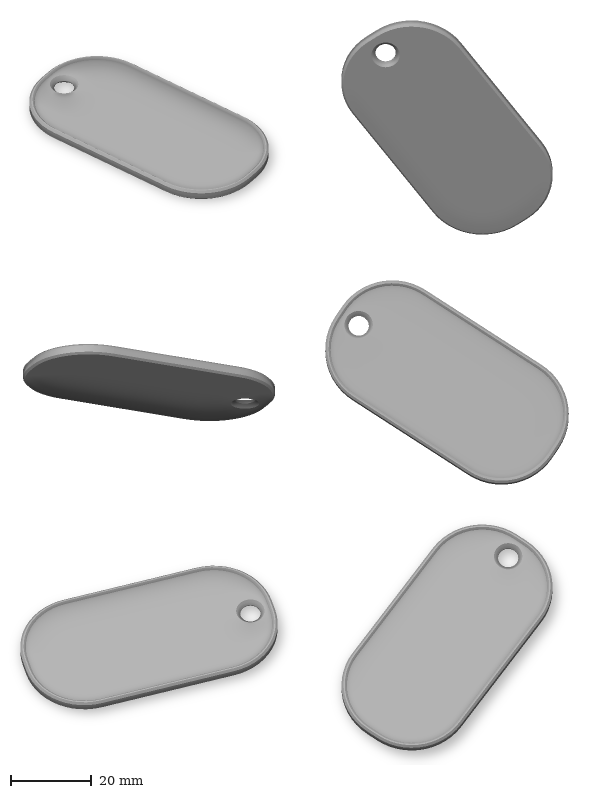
import cadquery as cq

length = 64.5
width = 33.0
thickness = 2.8
corner_radius = 15.0
edge_chamfer = 0.5

rim_width = 0.3
recess_depth = 0.5
recess_wall_angle = 45

hole_x = -26.25
hole_diameter = 5.0
countersink_diameter = 7.0
countersink_depth = (countersink_diameter - hole_diameter) / 2
floor_z = thickness - recess_depth


def rounded_outline(plane_z, inset):
    """Plate outline moved inward by a uniform inset."""
    outline = cq.Sketch().rect(length - 2 * inset, width - 2 * inset)
    outline = outline.vertices().fillet(corner_radius - inset)
    return cq.Workplane("XY", origin=(0, 0, plane_z)).placeSketch(outline)


def plate_blank():
    blank = rounded_outline(0, 0).extrude(thickness)
    return blank.faces("<Z or >Z").chamfer(edge_chamfer)


def recess_cutter():
    rim_inset = edge_chamfer + rim_width
    return rounded_outline(thickness, rim_inset).extrude(-recess_depth, taper=recess_wall_angle)


def countersink_cutter(face_z, inward):
    """Cone that narrows from a face to the hole diameter; inward is +1 (up) or -1 (down)."""
    cone = cq.Solid.makeCone(
        countersink_diameter / 2,
        hole_diameter / 2,
        countersink_depth,
        pnt=cq.Vector(hole_x, 0, face_z),
        dir=cq.Vector(0, 0, inward),
    )
    return cq.Workplane(cone)


def hanging_hole_cutter():
    hole = cq.Workplane("XY").center(hole_x, 0).circle(hole_diameter / 2).extrude(thickness)
    for face_z, inward in ((floor_z, -1), (0, 1)):
        hole = hole.union(countersink_cutter(face_z, inward))
    return hole


result = plate_blank().cut(recess_cutter()).cut(hanging_hole_cutter())